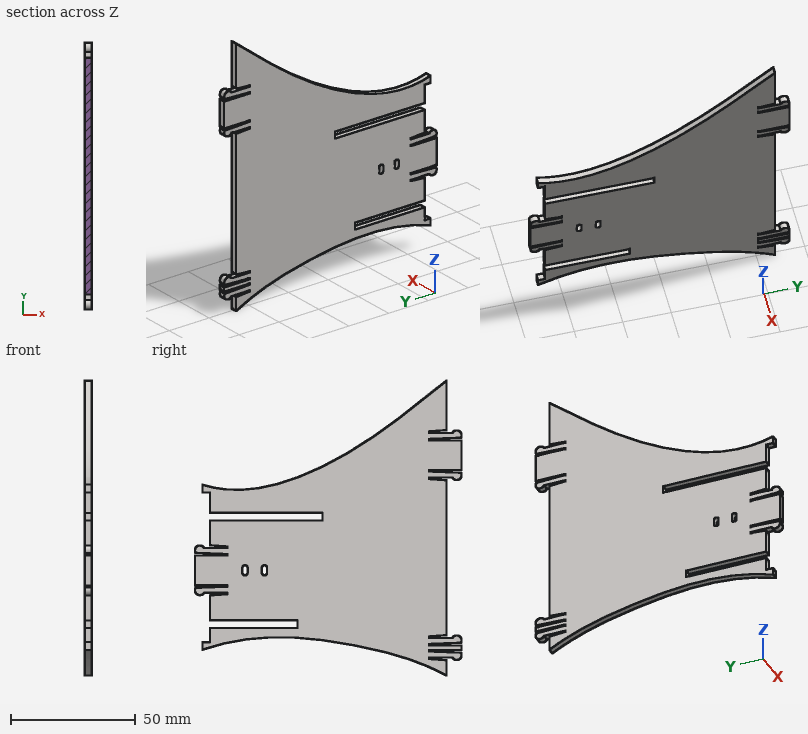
import cadquery as cq


thickness = 3.0
wall_height = 118.3
total_depth = 107.0
tab_reach = 6.0
plate_depth = total_depth - 2 * tab_reach
front_y = -plate_depth

lip_reach = 3.0
lip_y = front_y - lip_reach
upper_lip_top = 76.5
upper_lip_bottom = 73.4
lower_lip_top = 13.5
lower_lip_bottom = 10.4

upper_curve = [(-23.7, 99.9), (-53.2, 82.2), (-82.8, 74.5)]
lower_curve = [(-14.2, 6.3), (-35.5, 11.8), (-65.1, 15.4)]

wide_tab_height = 20.0
narrow_tab_height = 9.9
upper_tab_z = 88.4
lower_tab_z = 11.2
front_tab_z = 42.2
hook_radius = 2.0
hook_height = hook_radius / 2
finger_tip = 2.0
slit_mouth = 1.0
slit_root = 0.5
slit_depth = 7.0

slot_width = 3.0
slot_offset = 21.5
upper_slot_length = 45.1
lower_slot_length = 35.0
hole_width = 2.0
hole_height = 4.0
hole_insets = (14.1, 21.9)


def face_plane():
    """Sketch plane on the -X face; its local axes are Y and Z."""
    return cq.Workplane("YZ", origin=(-thickness / 2, 0, 0))


def polygon(points):
    return face_plane().polyline(points).close().extrude(thickness)


def rectangle(y_start, y_end, z_low, z_high):
    return polygon([(y_start, z_low), (y_end, z_low), (y_end, z_high), (y_start, z_high)])


def make_plate():
    outline = (
        face_plane()
        .moveTo(0, wall_height)
        .spline(upper_curve + [(lip_y, upper_lip_top)], includeCurrent=True)
        .lineTo(lip_y, upper_lip_bottom)
        .lineTo(front_y, upper_lip_bottom)
        .lineTo(front_y, lower_lip_top)
        .lineTo(lip_y, lower_lip_top)
        .lineTo(lip_y, lower_lip_bottom)
        .spline(lower_curve[::-1] + [(0, 0)], includeCurrent=True)
        .close()
    )
    return outline.extrude(thickness)


def add_snap_tab(body, edge_y, outward, center_z, height):
    """Add a tab on a plate edge; outward is the Y direction (+1 or -1) in which it stands out."""
    tip_y = edge_y + outward * tab_reach
    root_y = edge_y - outward * slit_depth
    hook_y = tip_y - outward * hook_radius
    half_height = height / 2
    finger_outer = half_height - hook_height
    finger_inner = finger_outer - finger_tip
    block_half = finger_inner - slit_mouth

    body = body.union(rectangle(root_y, tip_y, center_z - block_half, center_z + block_half))
    body = body.union(rectangle(root_y, hook_y, center_z - finger_outer, center_z + finger_outer))

    for side in (1, -1):
        hook_z = center_z + side * (half_height - hook_radius)
        hook = face_plane().center(hook_y, hook_z).circle(hook_radius).extrude(thickness)
        body = body.union(hook)

    for side in (1, -1):
        inner_slit = [
            (tip_y, center_z + side * block_half),
            (root_y, center_z + side * block_half),
            (root_y, center_z + side * (block_half + slit_root)),
            (tip_y, center_z + side * finger_inner),
        ]
        outer_slit = [
            (edge_y, center_z + side * finger_outer),
            (root_y, center_z + side * finger_outer),
            (root_y, center_z + side * (finger_outer + slit_root)),
            (edge_y, center_z + side * half_height),
        ]
        body = body.cut(polygon(inner_slit)).cut(polygon(outer_slit))
    return body


def cut_front_slot(body, center_z, length):
    half_width = slot_width / 2
    return body.cut(rectangle(front_y, front_y + length, center_z - half_width, center_z + half_width))


def cut_oblong_hole(body, inset):
    outline = face_plane().center(front_y + inset, front_tab_z).slot2D(hole_height, hole_width, 90)
    return body.cut(outline.extrude(thickness))


result = make_plate()
result = add_snap_tab(result, 0, 1, upper_tab_z, wide_tab_height)
result = add_snap_tab(result, 0, 1, lower_tab_z, narrow_tab_height)
result = add_snap_tab(result, front_y, -1, front_tab_z, wide_tab_height)
result = cut_front_slot(result, front_tab_z + slot_offset, upper_slot_length)
result = cut_front_slot(result, front_tab_z - slot_offset, lower_slot_length)
for hole_inset in hole_insets:
    result = cut_oblong_hole(result, hole_inset)